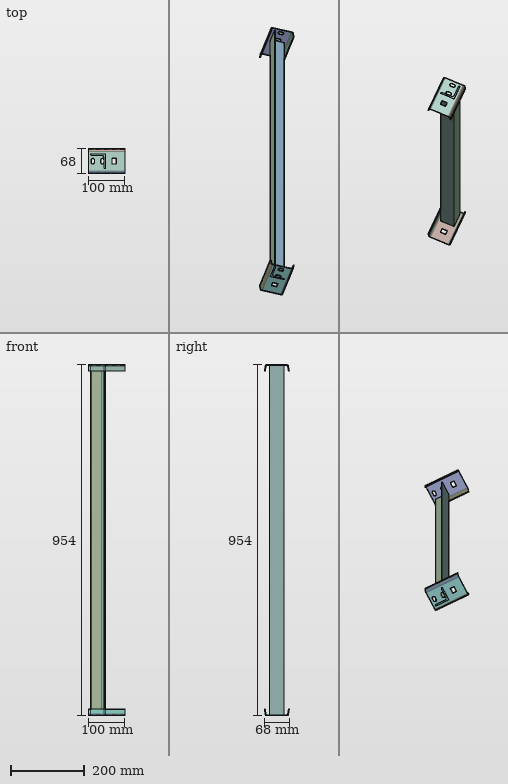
import cadquery as cq
import math

overall_height = 954.0
bracket_length = 100.0
bracket_width = 68.0

sheet = 2.5
flange_height = 17.7
flare_angle = math.radians(9.0)
inner_bend_radius = 2.5
outer_bend_radius = inner_bend_radius + sheet

slot_width = 8.0
slot_length = 15.0
slot_centers_x = (-38.0, -12.0)
window_width = 11.0
window_length = 15.0
window_center_x = 20.0

leg_length = 40.0
leg_thickness = 4.0
root_radius = 6.0
toe_radius = 3.0
post_left = -44.0
post_right = post_left + leg_length
post_back = leg_length / 2
post_front = post_back - leg_length
post_height = overall_height - 2 * sheet


def make_bracket():
    """Upper bracket, with the top of its web at z = 0 and its flanges hanging down."""
    outer_tip = bracket_width / 2
    outer_corner = outer_tip - flange_height * math.tan(flare_angle)
    inner_tip = outer_tip - sheet / math.cos(flare_angle)
    inner_corner = inner_tip - (flange_height - sheet) * math.tan(flare_angle)

    def channel(tip, corner, top, radius):
        """Solid trapezoid with rounded upper corners, filling the channel up to z = top."""
        block = (
            cq.Workplane("YZ", origin=(-bracket_length / 2, 0, 0))
            .polyline([(-tip, -flange_height), (-corner, top), (corner, top), (tip, -flange_height)])
            .close()
            .extrude(bracket_length)
        )
        return block.faces(">Z").edges("|X").fillet(radius)

    outside = channel(outer_tip, outer_corner, 0, outer_bend_radius)
    inside = channel(inner_tip, inner_corner, -sheet, inner_bend_radius)
    slots = (
        cq.Workplane("XY")
        .pushPoints([(x, 0) for x in slot_centers_x])
        .slot2D(slot_length, slot_width, angle=90)
        .extrude(-sheet)
    )
    window = (
        cq.Workplane("XY")
        .center(window_center_x, 0)
        .rect(window_width, window_length)
        .extrude(-sheet)
    )
    return outside.cut(inside).cut(slots).cut(window)


def make_post():
    """Angle section open toward -X and -Y, with a rounded root and rounded toes."""
    inner_x = post_right - leg_thickness
    inner_y = post_back - leg_thickness
    post = (
        cq.Workplane("XY", origin=(0, 0, -post_height / 2))
        .polyline([
            (post_left, post_back),
            (post_right, post_back),
            (post_right, post_front),
            (inner_x, post_front),
            (inner_x, inner_y),
            (post_left, inner_y),
        ])
        .close()
        .extrude(post_height)
    )
    rounded_corners = [
        (inner_x, inner_y, root_radius),
        (inner_x, post_front, toe_radius),
        (post_left, inner_y, toe_radius),
    ]
    for x, y, radius in rounded_corners:
        corner = cq.selectors.NearestToPointSelector((x, y, 0))
        post = post.edges("|Z").edges(corner).fillet(radius)
    return post


upper_bracket = make_bracket().translate((0, 0, overall_height / 2))
lower_bracket = upper_bracket.mirror("XY")
post = make_post()

result = cq.Compound.makeCompound([upper_bracket.val(), lower_bracket.val(), post.val()])